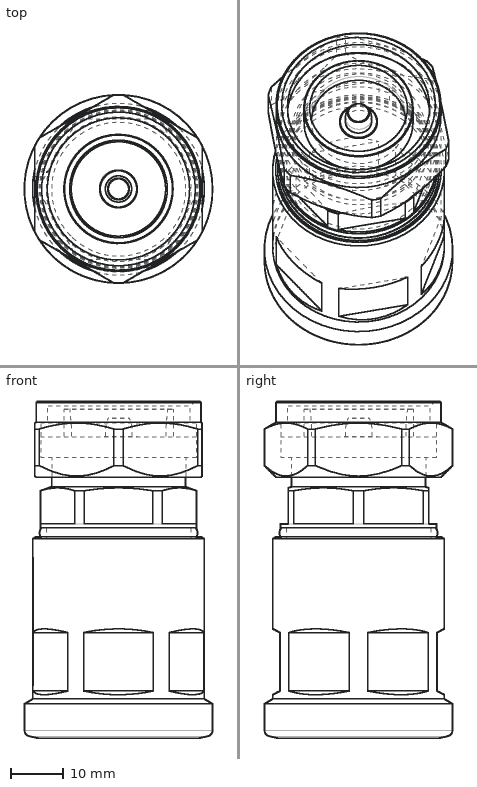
import cadquery as cq
import math


OVERALL_WIDTH = 36.0

NUT_TOP = 64.35
NUT_BOTTOM = 49.9
NUT_CORNER_RADIUS = OVERALL_WIDTH / 2
NUT_ACROSS_FLATS = 32.0
NUT_TOP_ANGLE = 30.0
COLLAR_BOTTOM = 60.35
COLLAR_RADIUS = 15.75
COLLAR_EDGE_CHAMFER = 0.25

BORE_RADIUS = 13.6
BORE_MOUTH_RADIUS = 14.7
BORE_MOUTH_DEPTH = 0.85
BORE_LIP_BOTTOM = 60.3

MATING_FLOOR = 57.6
RETAINER_RADIUS = 14.85
RETAINER_THICKNESS = 3.85
RETAINER_BOTTOM = MATING_FLOOR - RETAINER_THICKNESS
TUBE_TOP = 63.0
TUBE_RADIUS = 10.4
TUBE_EDGE_CHAMFER = 0.1
TUBE_MOUTH_RADIUS = 9.3
TUBE_BORE_RADIUS = 9.0
TUBE_TAPER_BOTTOM = 59.2

CONTACT_TIP = 61.25
CONTACT_NOSE_BOTTOM = 59.3
CONTACT_RADIUS = 2.5
CONTACT_TIP_RADIUS = 1.9
CONTACT_TIP_CHAMFER = 0.1
STEP_RADIUS = 3.6
STEP_HEIGHT = 0.1

NECK_RADIUS = 12.8
NECK_BOTTOM = 48.1
WRENCH_CORNER_RADIUS = 14.9
WRENCH_ACROSS_FLATS = 26.85
WRENCH_TOP_ANGLE = 20.0
WRENCH_BOTTOM = 41.0
SHOULDER_BOTTOM = 40.2

RING_BOTTOM = 38.2
RING_RADIUS = 15.1
RING_EDGE_RADIUS = 14.75
GROOVE_RADIUS = 13.85

SLEEVE_TOP = 38.5
SLEEVE_RADIUS = 16.4
SLEEVE_CHAMFER_WIDTH = 0.6
SLEEVE_CHAMFER_HEIGHT = 0.4
SLEEVE_RECESS_RADIUS = 15.45
SLEEVE_FLAT_COUNT = 6
SLEEVE_FLAT_APOTHEM = 15.0
SLEEVE_FLAT_BOTTOM = 9.1
SLEEVE_FLAT_TOP = 20.2
SLEEVE_FLAT_END_ANGLE = 27.0
SLEEVE_FLAT_REACH = 3.2

FLANGE_RADIUS = OVERALL_WIDTH / 2
FLANGE_RIM_TOP = 6.6
FLANGE_TOP_ANGLE = 30.0
FLANGE_FACE_RADIUS = 15.25
FLANGE_FACE_ANGLE = 12.5
FLANGE_FILLET = 1.2
FLANGE_TOP = FLANGE_RIM_TOP + (FLANGE_RADIUS - SLEEVE_RADIUS) * math.tan(math.radians(FLANGE_TOP_ANGLE))


def slope_height(width, degrees):
    """Rise over the given horizontal width of a slope at the given angle from horizontal."""
    return width * math.tan(math.radians(degrees))


def disc(radius, bottom, top):
    return cq.Workplane("XY").workplane(offset=bottom).circle(radius).extrude(top - bottom)


def chamfered_disc(radius, bottom, top, chamfer):
    return disc(radius, bottom, top).faces(">Z").edges().chamfer(chamfer)


def turned(points):
    """Solid of revolution about Z of a closed outline of (radius, height) points."""
    return cq.Workplane("XZ").polyline(points).close().revolve(360, (0, 0, 0), (0, 1, 0))


def hexagon(across_flats, bottom, top):
    """Hexagonal prism with two of its corners on the Y axis."""
    plane = cq.Workplane("XY").workplane(offset=bottom)
    return plane.polygon(6, across_flats, circumscribed=True).extrude(top - bottom)


def make_nut_hexagon():
    """Hexagon with rounded corners, coned above and cut at 45 degrees below."""
    corner_width = NUT_CORNER_RADIUS - COLLAR_RADIUS
    envelope = turned([
        (0, NUT_BOTTOM),
        (COLLAR_RADIUS, NUT_BOTTOM),
        (NUT_CORNER_RADIUS, NUT_BOTTOM + corner_width),
        (NUT_CORNER_RADIUS, COLLAR_BOTTOM - slope_height(corner_width, NUT_TOP_ANGLE)),
        (COLLAR_RADIUS, COLLAR_BOTTOM),
        (0, COLLAR_BOTTOM),
    ])
    return envelope.intersect(hexagon(NUT_ACROSS_FLATS, NUT_BOTTOM, COLLAR_BOTTOM))


def make_nut_bore():
    """Bore for the neck and the retainer disc, with a lip and a flared mouth above."""
    return turned([
        (0, NUT_BOTTOM),
        (NECK_RADIUS, NUT_BOTTOM),
        (NECK_RADIUS, RETAINER_BOTTOM),
        (RETAINER_RADIUS, RETAINER_BOTTOM),
        (RETAINER_RADIUS, BORE_LIP_BOTTOM),
        (BORE_RADIUS, BORE_LIP_BOTTOM),
        (BORE_RADIUS, NUT_TOP - BORE_MOUTH_DEPTH),
        (BORE_MOUTH_RADIUS, NUT_TOP),
        (0, NUT_TOP),
    ])


def make_coupling_nut():
    collar = chamfered_disc(COLLAR_RADIUS, COLLAR_BOTTOM, NUT_TOP, COLLAR_EDGE_CHAMFER)
    return make_nut_hexagon().union(collar).cut(make_nut_bore())


def make_outer_tube():
    tube = chamfered_disc(TUBE_RADIUS, MATING_FLOOR, TUBE_TOP, TUBE_EDGE_CHAMFER)
    bore = turned([
        (0, MATING_FLOOR),
        (TUBE_BORE_RADIUS, MATING_FLOOR),
        (TUBE_BORE_RADIUS, TUBE_TAPER_BOTTOM),
        (TUBE_MOUTH_RADIUS, TUBE_TOP),
        (0, TUBE_TOP),
    ])
    return tube.cut(bore)


def make_contact():
    """Contact pin with a curved nose, standing on a low step with a sloped edge."""
    pin = (
        cq.Workplane("XZ")
        .moveTo(0, MATING_FLOOR)
        .lineTo(CONTACT_RADIUS, MATING_FLOOR)
        .lineTo(CONTACT_RADIUS, CONTACT_NOSE_BOTTOM)
        .tangentArcPoint(
            (CONTACT_TIP_RADIUS + CONTACT_TIP_CHAMFER, CONTACT_TIP - CONTACT_TIP_CHAMFER),
            relative=False,
        )
        .lineTo(CONTACT_TIP_RADIUS, CONTACT_TIP)
        .lineTo(0, CONTACT_TIP)
        .close()
        .revolve(360, (0, 0, 0), (0, 1, 0))
    )
    step_top = MATING_FLOOR + STEP_HEIGHT
    step = turned([
        (0, MATING_FLOOR),
        (STEP_RADIUS, MATING_FLOOR),
        (STEP_RADIUS - STEP_HEIGHT, step_top),
        (0, step_top),
    ])
    return pin.union(step)


def make_mating_end():
    retainer = disc(RETAINER_RADIUS, RETAINER_BOTTOM, MATING_FLOOR)
    neck = disc(NECK_RADIUS, NECK_BOTTOM, RETAINER_BOTTOM)
    return neck.union(retainer).union(make_outer_tube()).union(make_contact())


def make_wrench_hexagon():
    """Hexagon coned down from the neck, with a round shoulder and the ring groove below it."""
    cone_drop = slope_height(WRENCH_CORNER_RADIUS - NECK_RADIUS, WRENCH_TOP_ANGLE)
    envelope = turned([
        (0, WRENCH_BOTTOM),
        (WRENCH_CORNER_RADIUS, WRENCH_BOTTOM),
        (WRENCH_CORNER_RADIUS, NECK_BOTTOM - cone_drop),
        (NECK_RADIUS, NECK_BOTTOM),
        (0, NECK_BOTTOM),
    ])
    prism = hexagon(WRENCH_ACROSS_FLATS, WRENCH_BOTTOM, NECK_BOTTOM)
    flats_toward_y = prism.rotate((0, 0, 0), (0, 0, 1), 30)
    shoulder = disc(WRENCH_CORNER_RADIUS, SHOULDER_BOTTOM, WRENCH_BOTTOM)
    groove_floor = disc(GROOVE_RADIUS, RING_BOTTOM, SHOULDER_BOTTOM)
    return envelope.intersect(flats_toward_y).union(shoulder).union(groove_floor)


def make_sleeve():
    """Round sleeve with a recessed, chamfered top and a ring of flats with sloped ends."""
    sleeve = turned([
        (0, FLANGE_TOP),
        (SLEEVE_RADIUS, FLANGE_TOP),
        (SLEEVE_RADIUS, SLEEVE_TOP - SLEEVE_CHAMFER_HEIGHT),
        (SLEEVE_RADIUS - SLEEVE_CHAMFER_WIDTH, SLEEVE_TOP),
        (SLEEVE_RECESS_RADIUS, SLEEVE_TOP),
        (SLEEVE_RECESS_RADIUS, RING_BOTTOM),
        (0, RING_BOTTOM),
    ])
    outer = SLEEVE_FLAT_APOTHEM + SLEEVE_FLAT_REACH
    flare = slope_height(SLEEVE_FLAT_REACH, SLEEVE_FLAT_END_ANGLE)
    flat_cutter = (
        cq.Workplane("YZ")
        .moveTo(SLEEVE_FLAT_APOTHEM, SLEEVE_FLAT_BOTTOM)
        .lineTo(outer, SLEEVE_FLAT_BOTTOM - flare)
        .lineTo(outer, SLEEVE_FLAT_TOP + flare)
        .lineTo(SLEEVE_FLAT_APOTHEM, SLEEVE_FLAT_TOP)
        .close()
        .extrude(SLEEVE_RADIUS, both=True)
    )
    for index in range(SLEEVE_FLAT_COUNT):
        angle = index * 360 / SLEEVE_FLAT_COUNT
        sleeve = sleeve.cut(flat_cutter.rotate((0, 0, 0), (0, 0, 1), angle))
    return sleeve


def make_flange():
    """Flange with a coned top and a shallow coned rear face blended into its rim."""
    rim_bottom = slope_height(FLANGE_RADIUS - FLANGE_FACE_RADIUS, FLANGE_FACE_ANGLE)
    blank = turned([
        (0, 0),
        (FLANGE_FACE_RADIUS, 0),
        (FLANGE_RADIUS, rim_bottom),
        (FLANGE_RADIUS, FLANGE_RIM_TOP),
        (SLEEVE_RADIUS, FLANGE_TOP),
        (0, FLANGE_TOP),
    ])
    rim_edge = cq.selectors.RadiusNthSelector(-1)
    return blank.edges("%CIRCLE").edges(rim_edge).edges("<Z").fillet(FLANGE_FILLET)


def make_connector_body():
    front = make_mating_end().union(make_wrench_hexagon())
    return front.union(make_sleeve()).union(make_flange())


def make_sealing_ring():
    """Ring with a flat seat and a bulged outer surface."""
    middle = (RING_BOTTOM + SHOULDER_BOTTOM) / 2
    return (
        cq.Workplane("XZ")
        .moveTo(GROOVE_RADIUS, RING_BOTTOM)
        .lineTo(RING_EDGE_RADIUS, RING_BOTTOM)
        .threePointArc((RING_RADIUS, middle), (RING_EDGE_RADIUS, SHOULDER_BOTTOM))
        .lineTo(GROOVE_RADIUS, SHOULDER_BOTTOM)
        .close()
        .revolve(360, (0, 0, 0), (0, 1, 0))
    )


coupling_nut = make_coupling_nut()
connector_body = make_connector_body()
sealing_ring = make_sealing_ring()

result = cq.Compound.makeCompound([coupling_nut.val(), connector_body.val(), sealing_ring.val()])